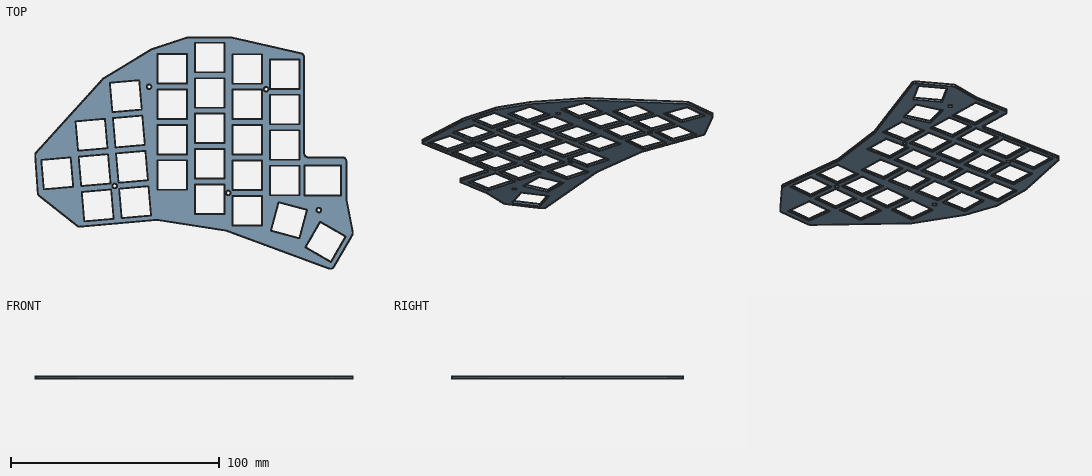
import cadquery as cq
import math

plate_thickness = 1.2
corner_radius = 2.0

key_cutout = 14.0
wide_cutout_width = 17.4
wide_cutout_height = 14.3
column_pitch = 18.0
five_row_span = 68.0
row_pitch = five_row_span / 4
screw_diameter = 2.1

outline_corners = [
    (-3.2, 55.5),
    (18.1, 55.5),
    (52.9, 47.5),
    (52.9, -2.0),
    (73.2, -2.0),
    (73.2, -22.1),
    (76.4, -38.5),
    (66.3, -56.0),
    (15.5, -37.2),
    (-17.7, -32.0),
    (-55.3, -35.4),
    (-74.8, -20.0),
    (-76.2, -0.3),
    (-43.5, 35.8),
    (-20.3, 49.8),
]

first_column_x = -10.4
upright_columns = [(-10.5, 4), (-22.1, 5), (-27.6, 5), (-13.1, 4)]

side_tilt = 5
side_origin = (-28.2, -23.5)
side_columns = [(0, 4), (0, 3), (1, 1)]

thumb_keys = [(45.5, -32.2, -15), (63.1, -42.5, -30)]
wide_key = (61.7, -13.1)

screw_positions = [(-21.5, 31.9), (34.6, 30.6), (-38.0, -15.7), (16.5, -19.0), (59.9, -27.3)]


def upright_keys():
    """Centres of the keys in the straight columns."""
    keys = []
    for column, (bottom_y, count) in enumerate(upright_columns):
        x = first_column_x + column * column_pitch
        for row in range(count):
            keys.append((x, bottom_y + row * row_pitch, 0))
    return keys


def side_keys():
    """Centres of the keys on the tilted grid at the side."""
    cosine = math.cos(math.radians(side_tilt))
    sine = math.sin(math.radians(side_tilt))
    keys = []
    for column, (first_row, count) in enumerate(side_columns):
        along = -column * column_pitch
        for row in range(first_row, first_row + count):
            up = row * row_pitch
            x = side_origin[0] + along * cosine - up * sine
            y = side_origin[1] + along * sine + up * cosine
            keys.append((x, y, side_tilt))
    return keys


def cutout(x, y, tilt, width=key_cutout, height=key_cutout):
    """Rectangular through-cutter centred on a key."""
    block = cq.Workplane("XY").rect(width, height).extrude(plate_thickness)
    return block.rotate((0, 0, 0), (0, 0, 1), tilt).translate((x, y, 0))


plate = cq.Workplane("XY").polyline(outline_corners).close().extrude(plate_thickness)
plate = plate.edges("|Z").fillet(corner_radius)

for key_x, key_y, key_tilt in upright_keys() + side_keys() + thumb_keys:
    plate = plate.cut(cutout(key_x, key_y, key_tilt))
plate = plate.cut(cutout(*wide_key, 0, wide_cutout_width, wide_cutout_height))

screw_holes = (
    cq.Workplane("XY")
    .pushPoints(screw_positions)
    .circle(screw_diameter / 2)
    .extrude(plate_thickness)
)
result = plate.cut(screw_holes)